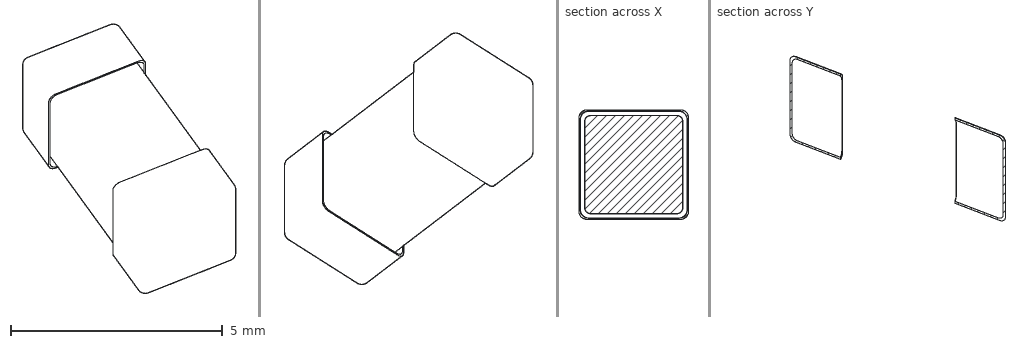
import cadquery as cq

length = 6.1
width = 2.6
height = 2.6

cap_length = 1.45
cap_fillet = 0.2
cap_wall = 0.04
cavity_fillet = cap_fillet

body_inset = 0.139
body_fillet = 0.15

body_length = length - 2 * cap_wall
body_width = width - 2 * body_inset
body_height = height - 2 * body_inset


def make_body():
    """Square bar with its long edges rounded, joining the two caps."""
    bar = cq.Workplane("XY").box(body_length, body_width, body_height)
    return bar.edges("|X").fillet(body_fillet)


def make_end_block(side, inset, fillet):
    """Block at one end, inset from the outer size, sharp only at its inner face."""
    block_length = cap_length - inset
    center_x = side * (length / 2 - inset - block_length / 2)
    outer_face = ">X" if side > 0 else "<X"
    block = cq.Workplane("XY").box(block_length, width - 2 * inset, height - 2 * inset)
    block = block.translate((center_x, 0, 0))
    return block.edges("|X").add(block.faces(outer_face).edges()).fillet(fillet)


def make_cap(side):
    """Cup at the -X (side = -1) or +X (side = 1) end."""
    outside = make_end_block(side, 0, cap_fillet)
    cavity = make_end_block(side, cap_wall, cavity_fillet)
    return outside.cut(cavity)


result = make_body()
for side in (-1, 1):
    result = result.union(make_cap(side))